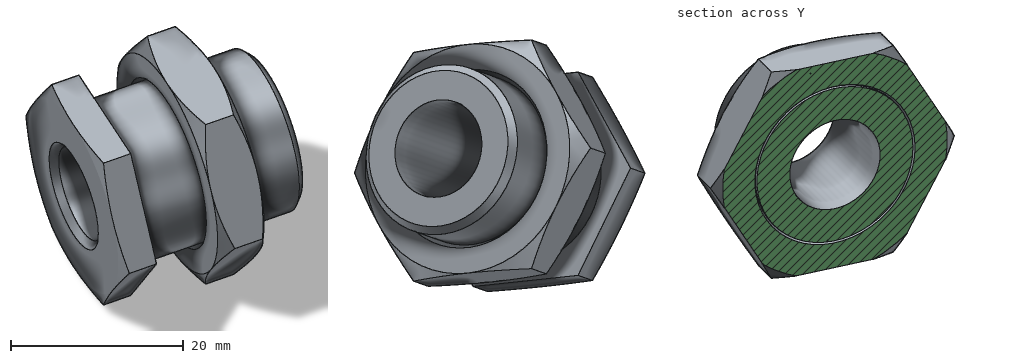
import cadquery as cq
import math

across_corners = 31.18
body_length = 25.0
body_diameter = 20.0
body_end_chamfer = 0.8

head_across_flats = 24.0
head_thickness = 4.0
head_chamfer_angle = 15.0

nut_across_flats = across_corners * math.cos(math.radians(30))
nut_start = 12.0
nut_thickness = 6.0
nut_chamfer_angle = 30.0
nut_countersink_width = 0.5
nut_countersink_depth = 2.8

bore_diameter = 11.47
bore_chamfer = 0.85


def revolve_about_axis(points):
    """Revolve a closed outline of (radius, Y) points about the Y axis."""
    return cq.Workplane("XY").polyline(points).close().revolve(360, (0, 0), (0, 1))


def chamfered_hexagon(across_flats, start, thickness, angle, chamfer_back):
    """Hexagonal prism with corners on X, its corners turned off by a cone."""
    flat_radius = across_flats / 2
    corner_radius = flat_radius / math.cos(math.radians(30))
    drop = (corner_radius - flat_radius) * math.tan(math.radians(angle))
    end = start + thickness
    prism = (
        cq.Workplane("XZ", origin=(0, end, 0))
        .polygon(6, 2 * corner_radius)
        .extrude(thickness)
    )
    outline = [(0, start), (flat_radius, start), (corner_radius, start + drop)]
    if chamfer_back:
        outline += [(corner_radius, end - drop), (flat_radius, end), (0, end)]
    else:
        outline += [(corner_radius, end), (0, end)]
    return prism.intersect(revolve_about_axis(outline))


def make_body():
    """Cylindrical shank with a chamfered free end."""
    radius = body_diameter / 2
    return revolve_about_axis([
        (0, 0),
        (radius, 0),
        (radius, body_length - body_end_chamfer),
        (radius - body_end_chamfer, body_length),
        (0, body_length),
    ])


def make_bore():
    """Through bore with a chamfered mouth in the head face."""
    radius = bore_diameter / 2
    return revolve_about_axis([
        (0, 0),
        (radius + bore_chamfer, 0),
        (radius, bore_chamfer),
        (radius, body_length),
        (0, body_length),
    ])


def make_countersink_ring(face, inward):
    """Triangular ring around the shank at a nut face; inward is the Y sense into the nut."""
    radius = body_diameter / 2
    return revolve_about_axis([
        (radius, face),
        (radius + nut_countersink_width, face),
        (radius, face + inward * nut_countersink_depth),
    ])


head = chamfered_hexagon(head_across_flats, 0, head_thickness, head_chamfer_angle, False)
nut = chamfered_hexagon(nut_across_flats, nut_start, nut_thickness, nut_chamfer_angle, True)
nut = nut.cut(make_countersink_ring(nut_start, 0.3))
nut = nut.cut(make_countersink_ring(nut_start + nut_thickness, -0.3))

result = make_body().union(head).union(nut).cut(make_bore())